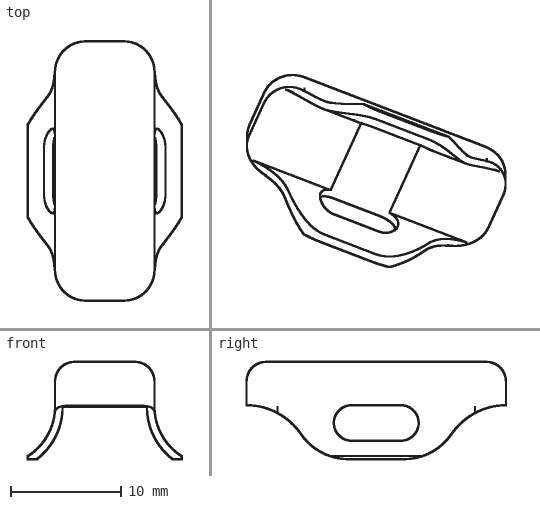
import cadquery as cq
import math

length = 23.6
body_width = 9.06
height = 8.87
corner_radius = 2.8
top_fillet = 1.8
underside_z = 4.77
end_z = 4.9

wing_span = 14.02
wing_thickness = 0.7
tip_height = 0.28
foot_length = 5.0
upper_curve_radius = 6.0

slot_length = 7.7
slot_height = 3.2
slot_center_z = 3.3

half_width = body_width / 2
flare_run = (wing_span - body_width) / 2
flare_drop = underside_z - tip_height
outer_radius = (flare_run**2 + flare_drop**2) / (2 * flare_run)
inner_radius = outer_radius + wing_thickness
flare_center_x = half_width + outer_radius


def arc_x(radius, z):
    """X of a flare arc at height z."""
    return flare_center_x - math.sqrt(radius**2 - (underside_z - z) ** 2)


def make_body():
    return (
        cq.Workplane("XY")
        .workplane(offset=underside_z)
        .rect(body_width, length)
        .extrude(height - underside_z)
        .edges("|Z")
        .fillet(corner_radius)
        .faces(">Z")
        .edges()
        .fillet(top_fillet)
    )


def make_wing():
    """Curved wing on the +X side, over the full body length."""
    mid_z = underside_z / 2
    band = (
        cq.Workplane("XZ")
        .moveTo(half_width, underside_z)
        .threePointArc((arc_x(outer_radius, mid_z), mid_z), (wing_span / 2, tip_height))
        .lineTo(wing_span / 2, 0)
        .lineTo(arc_x(inner_radius, 0), 0)
        .threePointArc(
            (arc_x(inner_radius, mid_z), mid_z),
            (half_width - wing_thickness, underside_z),
        )
        .close()
        .extrude(length / 2, both=True)
    )
    return band.cut(make_corner_trim())


def make_corner_trim():
    """Material outside the rounded body corners, beside and beyond the straight sides."""
    rounded = (
        cq.Workplane("XY")
        .rect(body_width, length)
        .extrude(height)
        .edges("|Z")
        .fillet(corner_radius)
    )
    straight = cq.Workplane("XY").rect(wing_span, length - 2 * corner_radius).extrude(height)
    return cq.Workplane("XY").rect(wing_span, length).extrude(height).cut(rounded).cut(straight)


def make_side_outline():
    """Lower side silhouette: S-curves of two tangent arcs lead from the ends to the foot.

    The block is oversized at the ends and top, where the body sets the shape.
    """
    half_length = length / 2
    half_foot = foot_length / 2
    curve_run = half_length - half_foot
    turn = 2 * math.atan2(end_z, curve_run)
    lower_curve_radius = curve_run / math.sin(turn) - upper_curve_radius

    def upper_point(angle):
        return (
            half_length - upper_curve_radius * math.sin(angle),
            end_z - upper_curve_radius * (1 - math.cos(angle)),
        )

    def lower_point(angle):
        return (
            half_foot + lower_curve_radius * math.sin(angle),
            lower_curve_radius * (1 - math.cos(angle)),
        )

    def mirrored(point):
        return (-point[0], point[1])

    return (
        cq.Workplane("YZ")
        .moveTo(length, 2 * height)
        .lineTo(length, end_z)
        .lineTo(half_length, end_z)
        .threePointArc(upper_point(turn / 2), upper_point(turn))
        .threePointArc(lower_point(turn / 2), (half_foot, 0))
        .lineTo(-half_foot, 0)
        .threePointArc(mirrored(lower_point(turn / 2)), mirrored(upper_point(turn)))
        .threePointArc(mirrored(upper_point(turn / 2)), (-half_length, end_z))
        .lineTo(-length, end_z)
        .lineTo(-length, 2 * height)
        .close()
        .extrude(wing_span, both=True)
    )


def make_slot():
    """Strap slot through both wings, just grazing the underside between them."""
    return (
        cq.Workplane("YZ")
        .center(0, slot_center_z)
        .slot2D(slot_length, slot_height)
        .extrude(wing_span, both=True)
    )


side_outline = make_side_outline()
wing = make_wing().intersect(side_outline)
body = make_body().intersect(side_outline)
result = body.union(wing).union(wing.mirror("YZ")).cut(make_slot())